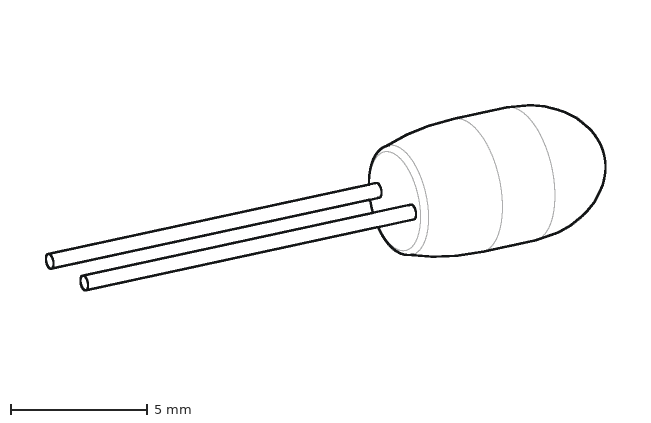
import cadquery as cq
import math

total_length = 22.35
body_length = 8.38
body_radius = 2.5

band_width = 2.24
dome_length = 3.05
dome_flat_radius = 1.0
rim_height = 0.22
rim_radius = 2.05
base_radius = 1.85

lead_spacing = 2.5
lead_diameter = 0.55

base_y = total_length - body_length
rim_y = base_y + rim_height
band_front_y = total_length - dome_length - band_width
band_back_y = band_front_y + band_width

dome_semi_axis = dome_length / math.sqrt(1 - (dome_flat_radius / body_radius) ** 2)
dome_end_angle = math.acos(dome_flat_radius / body_radius)


def dome_point(fraction):
    """Point (radius, Y) on the dome, from the band (0) to the flat end (1)."""
    angle = fraction * dome_end_angle
    return (
        body_radius * math.cos(angle),
        band_back_y + dome_semi_axis * math.sin(angle),
    )


def make_body():
    """Revolve the rounded rim, tapered belly, straight band and dome about Y."""
    rim_step = rim_radius - base_radius
    rim_middle = (
        base_radius + rim_step * math.sin(math.pi / 4),
        rim_y - rim_height * math.cos(math.pi / 4),
    )
    belly_length = band_front_y - rim_y
    belly_drop = body_radius - rim_radius
    belly_arc_radius = (belly_length**2 + belly_drop**2) / (2 * belly_drop)
    half_angle = math.asin(belly_length / belly_arc_radius) / 2
    belly_middle = (
        body_radius - belly_arc_radius * (1 - math.cos(half_angle)),
        band_front_y - belly_arc_radius * math.sin(half_angle),
    )
    profile = (
        cq.Workplane("XY")
        .moveTo(0, base_y)
        .lineTo(base_radius, base_y)
        .threePointArc(rim_middle, (rim_radius, rim_y))
        .threePointArc(belly_middle, (body_radius, band_front_y))
        .lineTo(body_radius, band_back_y)
        .parametricCurve(lambda t: (*dome_point(t), 0), makeWire=False)
        .lineTo(0, total_length)
        .close()
    )
    return profile.revolve(360, (0, 0, 0), (0, 1, 0))


def make_leads():
    """Two parallel round leads from the tips at Y = 0 to the base of the body."""
    half_spacing = lead_spacing / 2
    return (
        cq.Workplane("XZ")
        .pushPoints([(-half_spacing, 0), (half_spacing, 0)])
        .circle(lead_diameter / 2)
        .extrude(-base_y)
    )


result = make_body().union(make_leads()).translate((0, -total_length / 2, 0))